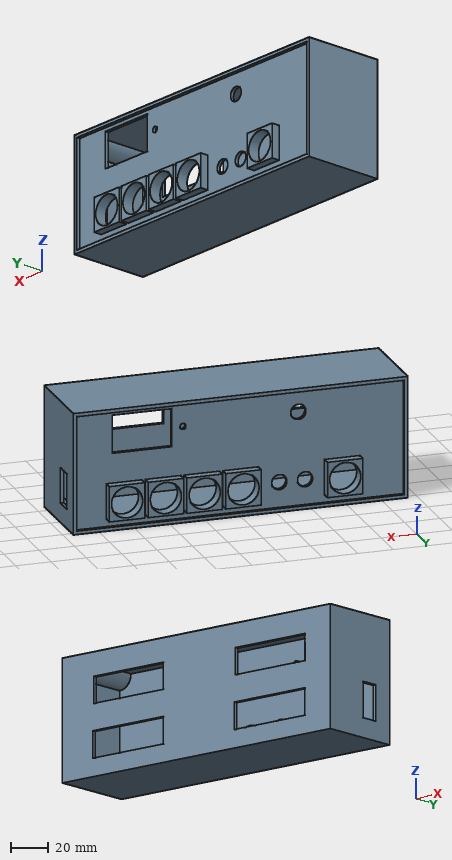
import cadquery as cq

LENGTH = 189.3
DEPTH = 49.0
HEIGHT = 69.0
WALL = 2.0

PANEL_RECESS = 2.0
PANEL_THICKNESS = 2.0
PANEL_BACK_Y = DEPTH - PANEL_RECESS
PANEL_FRONT_Y = PANEL_BACK_Y - PANEL_THICKNESS

POST_RADIUS = 8.05

WINDOW_RIGHT_X = (71.4, 171.3)
UPPER_WINDOW_LENGTH = 49.0
UPPER_WINDOW_Z = (40.3, 55.3)
LOWER_WINDOW_LENGTH = 49.8
LOWER_WINDOW_Z = (10.2, 25.4)

END_OPENING_Y = (27.3, 37.5)
END_OPENING_Z = (11.0, 31.0)

COLLAR_Z = 16.3
COLLAR_SIDE = 20.0
COLLAR_END_Y = 52.0
BORE_DIAMETER = 17.6
SINGLE_COLLAR_X = 36.5
ROW_FIRST_X = 94.0
ROW_PITCH = 22.0
ROW_COUNT = 4

JACK_DIAMETER = 8.5
JACK_CENTRES = ((57.5, COLLAR_Z), (72.1, COLLAR_Z), (61.3, 54.9))
SCREW_DIAMETER = 3.5
SCREW_X = 126.7
SCREW_Z = 54.0
CUTOUT_X = (132.9, 166.6)
CUTOUT_BOTTOM_Z = 43.2
CUTOUT_TOP_Z = 2 * SCREW_Z - CUTOUT_BOTTOM_Z


def block(x_range, y_range, z_range):
    """Box between the given low and high limits along each axis."""
    size = [high - low for low, high in (x_range, y_range, z_range)]
    corner = (x_range[0], y_range[0], z_range[0])
    return cq.Workplane("XY").box(*size, centered=False).translate(corner)


def rod(x, z, diameter, y_start, y_end):
    """Cylinder along Y at the given x and z."""
    start = cq.Vector(x, y_start, z)
    return cq.Workplane(cq.Solid.makeCylinder(diameter / 2, y_end - y_start, start, cq.Vector(0, 1, 0)))


def make_housing():
    inner_x = (WALL, LENGTH - WALL)
    inner_z = (WALL, HEIGHT - WALL)
    outside = block((0, LENGTH), (0, DEPTH), (0, HEIGHT))
    body = outside.cut(block(inner_x, (WALL, DEPTH), inner_z))

    for x in inner_x:
        for z in inner_z:
            body = body.union(rod(x, z, 2 * POST_RADIUS, 0, PANEL_FRONT_Y).intersect(outside))

    for right_x in WINDOW_RIGHT_X:
        body = body.cut(block((right_x - UPPER_WINDOW_LENGTH, right_x), (0, WALL), UPPER_WINDOW_Z))
        body = body.cut(block((right_x - LOWER_WINDOW_LENGTH, right_x), (0, WALL), LOWER_WINDOW_Z))

    return body.cut(block((LENGTH - WALL, LENGTH), END_OPENING_Y, END_OPENING_Z))


def make_rear_panel():
    panel_y = (PANEL_FRONT_Y, PANEL_BACK_Y)
    panel = block((WALL, LENGTH - WALL), panel_y, (WALL, HEIGHT - WALL))

    collar_z = (COLLAR_Z - COLLAR_SIDE / 2, COLLAR_Z + COLLAR_SIDE / 2)
    row_x = [ROW_FIRST_X + i * ROW_PITCH for i in range(ROW_COUNT)]
    for x in [SINGLE_COLLAR_X, *row_x]:
        collar_x = (x - COLLAR_SIDE / 2, x + COLLAR_SIDE / 2)
        panel = panel.union(block(collar_x, (PANEL_BACK_Y, COLLAR_END_Y), collar_z))
        panel = panel.cut(rod(x, COLLAR_Z, BORE_DIAMETER, PANEL_FRONT_Y, COLLAR_END_Y))

    for x, z in JACK_CENTRES:
        panel = panel.cut(rod(x, z, JACK_DIAMETER, *panel_y))
    panel = panel.cut(rod(SCREW_X, SCREW_Z, SCREW_DIAMETER, *panel_y))
    return panel.cut(block(CUTOUT_X, panel_y, (CUTOUT_BOTTOM_Z, CUTOUT_TOP_Z)))


housing = make_housing()
rear_panel = make_rear_panel()
result = cq.Compound.makeCompound([housing.solids().val(), rear_panel.solids().val()])